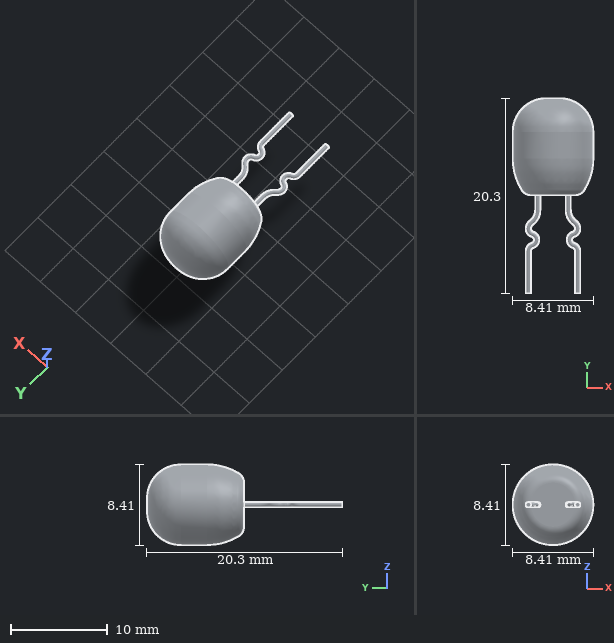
import cadquery as cq
import math

overall_length = 20.25
body_length = 10.09
body_radius = 4.204

dome_start = 6.55
flank_end = 3.83
rim_radius = 3.36
rim_height = 0.73
seat_radius = 2.29
dome_radius = body_length - dome_start
dome_flat_radius = body_radius - dome_radius

lead_radius = 0.28
lead_root_offset = 1.58
lead_outer_offset = 2.55
lead_inner_offset = 1.7
bend_start = 1.52
outer_bend = 3.46
inner_bend = 4.6
bend_end = 5.77
lead_length = overall_length - body_length
lead_embed = 1.01
long_bend_share = 0.67
even_bend_share = 0.5


def arc_middle(start, end, center):
    """Middle point of the minor arc from start to end about center."""
    radius = math.dist(start, center)
    chord_x = (start[0] + end[0]) / 2 - center[0]
    chord_y = (start[1] + end[1]) / 2 - center[1]
    stretch = radius / math.hypot(chord_x, chord_y)
    return (center[0] + chord_x * stretch, center[1] + chord_y * stretch)


def make_body():
    """Revolved capsule: domed top, short cylinder, bulging taper and rounded rim."""
    seat_edge = (seat_radius, 0)
    rim = (rim_radius, rim_height)
    flank_low = (body_radius, flank_end)
    flank_high = (body_radius, dome_start)
    dome_edge = (dome_flat_radius, body_length)

    rim_width = rim_radius - seat_radius
    rim_arc = (rim_width**2 + rim_height**2) / (2 * rim_height)
    taper_depth = body_radius - rim_radius
    taper_height = flank_end - rim_height
    taper_arc = (taper_depth**2 + taper_height**2) / (2 * taper_depth)

    profile = (
        cq.Workplane("XY")
        .lineTo(*seat_edge)
        .threePointArc(arc_middle(seat_edge, rim, (seat_radius, rim_arc)), rim)
        .threePointArc(arc_middle(rim, flank_low, (body_radius - taper_arc, flank_end)), flank_low)
        .lineTo(*flank_high)
        .threePointArc(arc_middle(flank_high, dome_edge, (dome_flat_radius, dome_start)), dome_edge)
        .lineTo(0, body_length)
        .close()
    )
    return profile.revolve(360, (0, 0, 0), (0, 1, 0))


def make_lead():
    """Round wire on the +X side, kinked by three S-bends that start and end parallel to Y."""
    bends = [
        ((lead_outer_offset, -outer_bend), long_bend_share),
        ((lead_inner_offset, -inner_bend), even_bend_share),
        ((lead_outer_offset, -bend_end), even_bend_share),
    ]
    start = (lead_root_offset, -bend_start)
    path = cq.Workplane("XY").moveTo(lead_root_offset, lead_embed).lineTo(*start)
    for end, share in bends:
        meeting = tuple(a + share * (b - a) for a, b in zip(start, end))
        path = path.tangentArcPoint(meeting, relative=False).tangentArcPoint(end, relative=False)
        start = end
    path = path.lineTo(lead_outer_offset, -lead_length)

    section = cq.Workplane("XZ", origin=(lead_root_offset, lead_embed, 0)).circle(lead_radius)
    return section.sweep(path)


lead = make_lead()
result = make_body().union(lead).union(lead.mirror("YZ"))